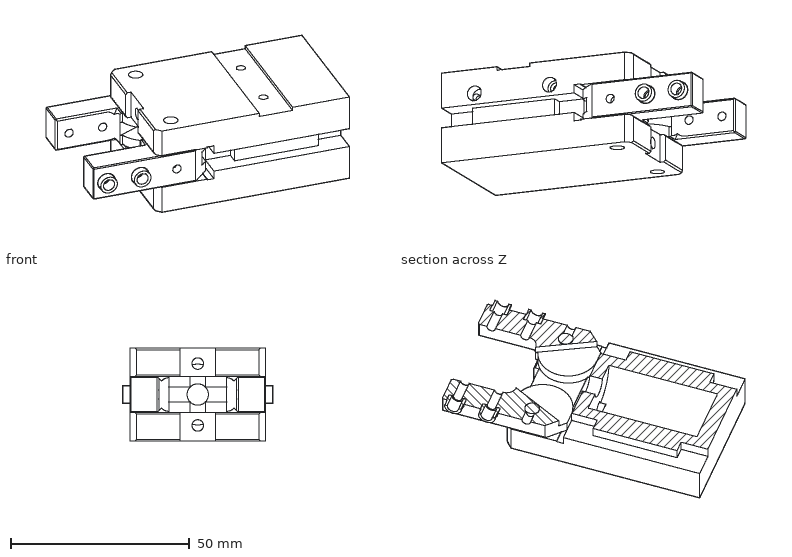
import cadquery as cq
import math

REAR_Y = 38.25
TIP_Y = -38.25
HALF_WIDTH = 19.0
OVERALL_HALF_WIDTH = 21.0

DRILL_POINT_ANGLE = 118.0

HOUSING_HEIGHT = 26.0
HOUSING_FRONT_Y = -19.6
CORNER_CHAMFER = 1.9
EDGE_CHAMFER = 0.5
FRONT_NOTCH_WIDTH = 10.0
FRONT_NOTCH_DEPTH = 1.6

POCKET_REAR_Y = -2.2
POCKET_HEIGHT = 10.0
RELIEF_LENGTH = 2.0
RELIEF_DEPTH = 0.2

GROOVE_HEIGHT = 5.65
GROOVE_DEPTH = 6.9
PAD_INSET = 3.5
PAD_REAR_Y = 30.3
PAD_FRONT_Y = 5.3

TOP_GROOVE_FRONT_Y = 11.3
TOP_GROOVE_WIDTH = 9.95
TOP_GROOVE_DEPTH = 1.0
TOP_HOLE_DIAMETER = 2.5
TOP_HOLE_SPACING = 18.0
TOP_HOLE_DEPTH = 5.35

BORE_DIAMETER = 17.0
BORE_FRONT_Y = 1.5
BORE_REAR_Y = 33.65
ROD_HOLE_DIAMETER = 6.0

FRONT_HOLE_DIAMETER = 3.2
FRONT_HOLE_Z = 8.65
FRONT_HOLE_END_Y = 3.05

PORT_DIAMETER = 4.2
PORT_DEPTH = 3.8
PORT_Z = 6.05
REAR_PORT_Y = 28.2
FRONT_PORT_Y = 5.3
REAR_PASSAGE_DIAMETER = 1.9
FRONT_PASSAGE_DIAMETER = 3.0
PASSAGE_LENGTH = 2.3

PIVOT_DIAMETER = 4.0
PIVOT_X = 14.0
PIVOT_Y = -13.2

FINGER_HEIGHT = POCKET_HEIGHT
FINGER_INNER_X = 10.9
OUTER_CHAMFER = 0.3
INNER_CHAMFER = 0.5
FINGER_REAR_Y = -2.8
REAR_BEVEL = 4.9
LOBE_DIAMETER = 17.0
LOBE_TIP_X = 2.2
LEVER_FRONT_X = 8.0
LEVER_FRONT_Y = -20.1
SLOT_HEIGHT = 4.1
SLOT_REAR_Y = -4.6
SET_SCREW_DIAMETER = 2.45

BUSHING_DIAMETER = 5.0
BUSHING_BORE = 3.3
SEAT_CHAMFER = 0.15
BUSHING_SEAT_DEPTH = 2.0
FINGER_HOLE_DIAMETER = 2.45
BUSHING_YS = (-24.25, -34.3)


def box(x_min, x_max, y_min, y_max, z_min, z_max):
    """Axis-aligned block between the given limits."""
    size = (x_max - x_min, y_max - y_min, z_max - z_min)
    return cq.Workplane("XY").box(*size, centered=False).translate((x_min, y_min, z_min))


def rod(start, direction, diameter, length):
    """Solid cylinder that starts at a point and runs along a direction."""
    return cq.Workplane(
        cq.Solid.makeCylinder(diameter / 2, length, cq.Vector(*start), cq.Vector(*direction))
    )


def drilled(start, direction, diameter, depth):
    """Blind hole with a drill point beyond its full-diameter depth."""
    radius = diameter / 2
    point_length = radius / math.tan(math.radians(DRILL_POINT_ANGLE / 2))
    axis = cq.Vector(*direction)
    floor = cq.Vector(*start) + axis * depth
    point = cq.Solid.makeCone(radius, 0, point_length, floor, axis)
    return rod(start, direction, diameter, depth).union(cq.Workplane(point))


def mirrored_pair(shape):
    """The shape and its mirror image across X = 0."""
    return (shape, shape.mirror("YZ"))


def jaw_blank(z_min, z_max):
    """Front jaw of the housing above or below the pocket, with its front edges chamfered."""
    jaw = box(-HALF_WIDTH, HALF_WIDTH, HOUSING_FRONT_Y, POCKET_REAR_Y, z_min, z_max)
    jaw = jaw.faces("<Y").edges("|X").chamfer(EDGE_CHAMFER)
    corner = (
        cq.Workplane("XY")
        .workplane(offset=z_min)
        .moveTo(HALF_WIDTH, HOUSING_FRONT_Y)
        .lineTo(HALF_WIDTH - CORNER_CHAMFER, HOUSING_FRONT_Y)
        .lineTo(HALF_WIDTH, HOUSING_FRONT_Y + CORNER_CHAMFER)
        .close()
        .extrude(z_max - z_min)
    )
    for cut in mirrored_pair(corner):
        jaw = jaw.cut(cut)
    half_notch = FRONT_NOTCH_WIDTH / 2
    notch_end = HOUSING_FRONT_Y + FRONT_NOTCH_DEPTH
    return jaw.cut(box(-half_notch, half_notch, HOUSING_FRONT_Y, notch_end, z_min, z_max))


def side_groove():
    """Cut for the sensor groove in the right side, leaving the raised pad."""
    half_height = GROOVE_HEIGHT / 2
    floor_x = HALF_WIDTH - GROOVE_DEPTH
    pad_x = HALF_WIDTH - PAD_INSET
    groove = box(floor_x, HALF_WIDTH, POCKET_REAR_Y, REAR_Y, -half_height, half_height)
    return groove.cut(box(floor_x, pad_x, PAD_FRONT_Y, PAD_REAR_Y, -half_height, half_height))


def air_port(port_y, passage_diameter, passage_shift):
    """Cut for a port in the left side: a drilled hole and a narrower passage beyond it."""
    port = drilled((-HALF_WIDTH, port_y, PORT_Z), (1, 0, 0), PORT_DIAMETER, PORT_DEPTH)
    passage_start = (-HALF_WIDTH + PORT_DEPTH, port_y + passage_shift, PORT_Z)
    return port.union(rod(passage_start, (1, 0, 0), passage_diameter, PASSAGE_LENGTH))


def make_housing(pivot_pin):
    half_height = HOUSING_HEIGHT / 2
    half_pocket = POCKET_HEIGHT / 2
    housing = box(-HALF_WIDTH, HALF_WIDTH, POCKET_REAR_Y, REAR_Y, -half_height, half_height)
    housing = housing.union(jaw_blank(half_pocket, half_height))
    housing = housing.union(jaw_blank(-half_height, -half_pocket))

    half_relief = half_pocket + RELIEF_DEPTH
    relief_front = POCKET_REAR_Y - RELIEF_LENGTH
    housing = housing.cut(
        box(-HALF_WIDTH, HALF_WIDTH, relief_front, POCKET_REAR_Y, -half_relief, half_relief)
    )

    for groove in mirrored_pair(side_groove()):
        housing = housing.cut(groove)

    groove_rear = TOP_GROOVE_FRONT_Y + TOP_GROOVE_WIDTH
    groove_floor = half_height - TOP_GROOVE_DEPTH
    housing = housing.cut(
        box(-HALF_WIDTH, HALF_WIDTH, TOP_GROOVE_FRONT_Y, groove_rear, groove_floor, half_height)
    )
    hole_y = TOP_GROOVE_FRONT_Y + TOP_GROOVE_WIDTH / 2
    for hole_x in (-TOP_HOLE_SPACING / 2, TOP_HOLE_SPACING / 2):
        start = (hole_x, hole_y, groove_floor)
        housing = housing.cut(drilled(start, (0, 0, -1), TOP_HOLE_DIAMETER, TOP_HOLE_DEPTH))

    bore_length = BORE_REAR_Y - BORE_FRONT_Y
    housing = housing.cut(rod((0, BORE_FRONT_Y, 0), (0, 1, 0), BORE_DIAMETER, bore_length))
    rod_hole_length = BORE_FRONT_Y - POCKET_REAR_Y
    housing = housing.cut(rod((0, POCKET_REAR_Y, 0), (0, 1, 0), ROD_HOLE_DIAMETER, rod_hole_length))

    front_hole_length = FRONT_HOLE_END_Y - HOUSING_FRONT_Y
    for hole_z in (-FRONT_HOLE_Z, FRONT_HOLE_Z):
        start = (0, HOUSING_FRONT_Y, hole_z)
        housing = housing.cut(rod(start, (0, 1, 0), FRONT_HOLE_DIAMETER, front_hole_length))

    rear_shift = (PORT_DIAMETER - REAR_PASSAGE_DIAMETER) / 2
    housing = housing.cut(air_port(REAR_PORT_Y, REAR_PASSAGE_DIAMETER, rear_shift))
    housing = housing.cut(air_port(FRONT_PORT_Y, FRONT_PASSAGE_DIAMETER, 0))

    for pin in mirrored_pair(pivot_pin):
        housing = housing.cut(pin)
    return housing


def make_pivot_pin():
    """Pin that runs through both jaws of the housing and carries the right finger."""
    start = (PIVOT_X, PIVOT_Y, -HOUSING_HEIGHT / 2)
    return rod(start, (0, 0, 1), PIVOT_DIAMETER, HOUSING_HEIGHT)


def make_bushing(bushing_y):
    """Bushing in the right finger, projecting from its outer face."""
    start = (HALF_WIDTH - BUSHING_SEAT_DEPTH, bushing_y, 0)
    length = OVERALL_HALF_WIDTH - start[0]
    body = rod(start, (1, 0, 0), BUSHING_DIAMETER, length)
    return body.cut(rod(start, (1, 0, 0), BUSHING_BORE, length))


def lever_ridge_y():
    """Where the slope along the front of the lever reaches the top and bottom of the finger."""
    return LEVER_FRONT_Y + OUTER_CHAMFER


def edges_around(x, y):
    """Selector for the edges whose centre is at a given X and Y, whatever their height."""
    margin = 0.1
    return cq.selectors.BoxSelector(
        (x - margin, y - margin, -FINGER_HEIGHT), (x + margin, y + margin, FINGER_HEIGHT)
    )


def finger_blank():
    """Right finger without root web and openings: a straight jaw with a round lobe at its inner end."""
    lobe_radius = LOBE_DIAMETER / 2
    lobe_x = LOBE_TIP_X + lobe_radius
    lobe_y = FINGER_REAR_Y - lobe_radius
    lobe_end_y = lobe_y - math.sqrt(lobe_radius**2 - (lobe_x - LEVER_FRONT_X) ** 2)
    blank = (
        cq.Workplane("XY")
        .workplane(offset=-FINGER_HEIGHT / 2)
        .moveTo(FINGER_INNER_X, TIP_Y)
        .lineTo(HALF_WIDTH, TIP_Y)
        .lineTo(HALF_WIDTH, FINGER_REAR_Y - REAR_BEVEL)
        .lineTo(HALF_WIDTH - REAR_BEVEL, FINGER_REAR_Y)
        .lineTo(lobe_x, FINGER_REAR_Y)
        .threePointArc((LOBE_TIP_X, lobe_y), (LEVER_FRONT_X, lobe_end_y))
        .lineTo(LEVER_FRONT_X, lever_ridge_y())
        .lineTo(FINGER_INNER_X, lever_ridge_y())
        .close()
        .extrude(FINGER_HEIGHT)
    )
    inner_mid_y = (TIP_Y + lever_ridge_y()) / 2
    outer_mid_y = (TIP_Y + FINGER_REAR_Y - REAR_BEVEL) / 2
    tip_mid_x = (FINGER_INNER_X + INNER_CHAMFER + HALF_WIDTH) / 2
    inner_edges = edges_around(FINGER_INNER_X, inner_mid_y) + edges_around(FINGER_INNER_X, TIP_Y)
    blank = blank.edges(inner_edges).chamfer(INNER_CHAMFER)
    outer_edges = edges_around(HALF_WIDTH, outer_mid_y) + edges_around(HALF_WIDTH, TIP_Y)
    return blank.edges(outer_edges + edges_around(tip_mid_x, TIP_Y)).chamfer(OUTER_CHAMFER)


def sloped_ridge(plane, ridge_edge, length):
    """Bar along a plane's normal whose top and bottom slope at 45 degrees below a ridge edge."""
    half_height = FINGER_HEIGHT / 2
    points = [(ridge_edge, half_height), (ridge_edge - half_height, 0), (ridge_edge, -half_height)]
    outer_edge = ridge_edge + half_height
    points += [(outer_edge, -half_height), (outer_edge, half_height)]
    return cq.Workplane(plane).polyline(points).close().extrude(length, both=True)


def root_web():
    """Round fillet between jaw and lever; the slopes of both edges carry on over it as a valley."""
    arc_start = (LEVER_FRONT_X, LEVER_FRONT_Y)
    radius = FINGER_INNER_X - LEVER_FRONT_X
    arc_end = (FINGER_INNER_X, LEVER_FRONT_Y - radius)
    arc_mid = (
        LEVER_FRONT_X + radius * math.sin(math.pi / 4),
        LEVER_FRONT_Y - radius * (1 - math.cos(math.pi / 4)),
    )
    jaw_ridge_x = FINGER_INNER_X + INNER_CHAMFER
    web = (
        cq.Workplane("XY")
        .workplane(offset=-FINGER_HEIGHT / 2)
        .moveTo(*arc_start)
        .threePointArc(arc_mid, arc_end)
        .lineTo(jaw_ridge_x, arc_end[1])
        .lineTo(jaw_ridge_x, lever_ridge_y())
        .lineTo(LEVER_FRONT_X, lever_ridge_y())
        .close()
        .extrude(FINGER_HEIGHT)
    )
    jaw_ridge = sloped_ridge("XZ", jaw_ridge_x, REAR_Y - TIP_Y)
    lever_ridge = sloped_ridge("YZ", lever_ridge_y(), REAR_Y - TIP_Y)
    return web.intersect(jaw_ridge.union(lever_ridge))


def lever_slot():
    """Cut for the slot in the lobe, ending on a slanted wall."""
    return (
        cq.Workplane("XY")
        .workplane(offset=-SLOT_HEIGHT / 2)
        .moveTo(LEVER_FRONT_X, LEVER_FRONT_Y)
        .lineTo(HALF_WIDTH - REAR_BEVEL + FINGER_REAR_Y - SLOT_REAR_Y, SLOT_REAR_Y)
        .lineTo(HALF_WIDTH, FINGER_REAR_Y)
        .lineTo(0, FINGER_REAR_Y)
        .lineTo(0, LEVER_FRONT_Y)
        .close()
        .extrude(SLOT_HEIGHT)
    )


def seat_mouth(bushing_y):
    """Cut for the chamfered mouth of a bushing seat."""
    radius = BUSHING_DIAMETER / 2
    start = cq.Vector(HALF_WIDTH - SEAT_CHAMFER, bushing_y, 0)
    mouth = cq.Solid.makeCone(radius, radius + SEAT_CHAMFER, SEAT_CHAMFER, start, cq.Vector(1, 0, 0))
    return cq.Workplane(mouth)


def make_finger(pivot_pin):
    """Right finger, bored for its pivot pin, set screw and bushings."""
    finger = finger_blank().union(root_web()).cut(lever_slot()).cut(pivot_pin)
    set_screw_length = HALF_WIDTH - PIVOT_X
    finger = finger.cut(rod((PIVOT_X, PIVOT_Y, 0), (1, 0, 0), SET_SCREW_DIAMETER, set_screw_length))
    for bushing_y in BUSHING_YS:
        seat_start = (HALF_WIDTH - BUSHING_SEAT_DEPTH, bushing_y, 0)
        seat = rod(seat_start, (1, 0, 0), BUSHING_DIAMETER, BUSHING_SEAT_DEPTH)
        finger = finger.cut(seat).cut(seat_mouth(bushing_y))
        through_start = (FINGER_INNER_X, bushing_y, 0)
        jaw_width = HALF_WIDTH - FINGER_INNER_X
        finger = finger.cut(rod(through_start, (1, 0, 0), FINGER_HOLE_DIAMETER, jaw_width))
    return finger


pivot_pin = make_pivot_pin()
bushings = [make_bushing(bushing_y) for bushing_y in BUSHING_YS]
finger = make_finger(pivot_pin)

bodies = [make_housing(pivot_pin).val()]
for right_body in (finger, pivot_pin, *bushings):
    bodies += [body.val() for body in mirrored_pair(right_body)]

result = cq.Compound.makeCompound(bodies)